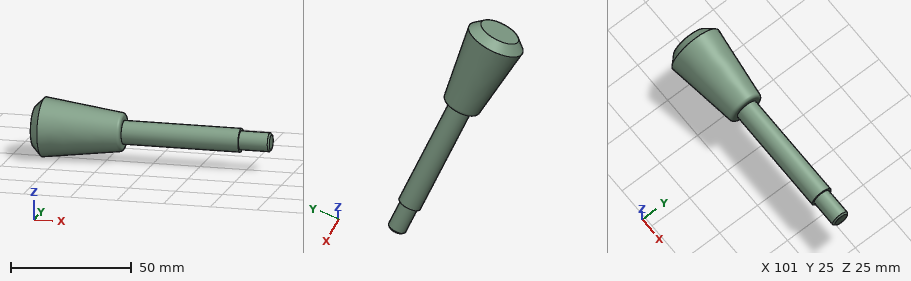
import cadquery as cq

total_length = 101.0

knob_length = 38.0
knob_diameter = 25.0
face_diameter = 17.4
front_chamfer = (knob_diameter - face_diameter) / 2
rear_diameter = 16.1
rear_fillet = 1.5

shaft_diameter = 10.0
shaft_end = 88.0
tip_diameter = 8.0
tip_chamfer = 0.7


def make_knob():
    """Cone widening towards the flat face, bevelled in front and rounded at the rear."""
    return (
        cq.Workplane("XZ")
        .lineTo(0, face_diameter / 2)
        .lineTo(front_chamfer, knob_diameter / 2)
        .lineTo(knob_length, rear_diameter / 2)
        .lineTo(knob_length, 0)
        .close()
        .revolve(360, (0, 0, 0), (1, 0, 0))
        .faces(">X")
        .edges()
        .fillet(rear_fillet)
    )


def make_rod(start, end, diameter):
    """Cylinder along X between two positions."""
    return cq.Workplane("YZ", origin=(start, 0, 0)).circle(diameter / 2).extrude(end - start)


shaft = make_rod(knob_length, shaft_end, shaft_diameter)
tip = make_rod(shaft_end, total_length, tip_diameter).faces(">X").chamfer(tip_chamfer)

result = make_knob().union(shaft).union(tip)